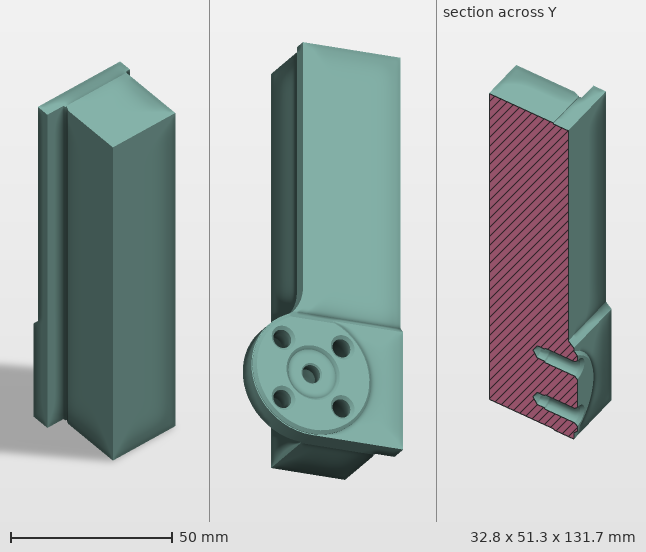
import cadquery as cq
import math

TOTAL_X = 32.82
TOTAL_Y = 51.31
TOTAL_Z = 131.65

END_RADIUS = 20.31
DISC_RADIUS = 20.0
DISC_HEIGHT = 1.25
DISC_CHAMFER = 1.0
PLATE_BACK_X = 8.0
THIN_FACE_X = 3.3
SLOPE_TOP_Z = 20.8
PLATE_MIN_Y = END_RADIUS - TOTAL_Y
PLATE_MAX_Y = 2.0
NECK_RADIUS = 12.0

SHANK_END_INSET = 0.4
SHANK_START_X = 8.9
SHANK_WIDTH = 25.0
SHANK_MAX_Y = -0.1
SHANK_MIN_Y = SHANK_MAX_Y - SHANK_WIDTH
BACK_BLEND = SHANK_START_X - PLATE_BACK_X
GROOVE_BOTTOM_X = 9.25
GROOVE_END_X = 10.9
GROOVE_DEPTH = 0.85
GROOVE_LIP = 0.5

HOLE_SPACING = 20.0
HOLE_DIAMETER = 6.0
PILOT_DIAMETER = 5.0
HOLE_MOUTH_DIAMETER = 8.0
CENTRE_MOUTH_DIAMETER = 7.0
RECESS_DIAMETER = 18.0
RECESS_FLOOR_DIAMETER = 16.0
RECESS_DEPTH = 1.0
BLIND_DEPTH = 12.0
PILOT_DEPTH = 15.0
CENTRE_DEPTH = 5.5
DRILL_HALF_ANGLE = math.radians(59)
CENTRE_HALF_ANGLE = math.radians(70)

PLATE_MIN_Z = -END_RADIUS
SHANK_MIN_Z = PLATE_MIN_Z + SHANK_END_INSET
SHANK_MAX_Z = PLATE_MIN_Z + TOTAL_Z
PLATE_MAX_Z = SHANK_MAX_Z - SHANK_END_INSET


def revolve_about_x(points, y=0.0, z=0.0):
    """Revolve (x, radius) points about an axis along X through (y, z)."""
    profile = cq.Workplane("XY").polyline(points).close()
    return profile.revolve(360, (0, 0, 0), (1, 0, 0)).translate((0, y, z))


def make_plate():
    """Plate with a round end, from the disc's base to the plate back."""
    neck_y = PLATE_MAX_Y + NECK_RADIUS
    centre_distance = END_RADIUS + NECK_RADIUS
    neck_z = math.sqrt(centre_distance**2 - neck_y**2)
    tangent_scale = END_RADIUS / centre_distance
    tangent = (neck_y * tangent_scale, neck_z * tangent_scale)

    direction = math.atan2(-neck_z, -neck_y)
    middle_angle = (direction - math.pi) / 2
    neck_middle = (
        neck_y + NECK_RADIUS * math.cos(middle_angle),
        neck_z + NECK_RADIUS * math.sin(middle_angle),
    )
    outline = (
        cq.Workplane("YZ", origin=(DISC_HEIGHT, 0, 0))
        .moveTo(PLATE_MIN_Y, PLATE_MIN_Z)
        .lineTo(0, PLATE_MIN_Z)
        .threePointArc((END_RADIUS, 0), tangent)
        .threePointArc(neck_middle, (PLATE_MAX_Y, neck_z))
        .lineTo(PLATE_MAX_Y, PLATE_MAX_Z)
        .lineTo(PLATE_MIN_Y, PLATE_MAX_Z)
        .close()
    )
    return outline.extrude(PLATE_BACK_X - DISC_HEIGHT)


def make_disc():
    """Raised disc with a chamfered rim, reaching down through the plate."""
    top_radius = DISC_RADIUS - DISC_CHAMFER
    return revolve_about_x([
        (0, 0),
        (0, top_radius),
        (DISC_CHAMFER, DISC_RADIUS),
        (PLATE_BACK_X, DISC_RADIUS),
        (PLATE_BACK_X, 0),
    ])


def make_thin_cut():
    """Material removed in front of the thin stretch, with its 45 degree slope."""
    profile = (
        cq.Workplane("XZ", origin=(0, PLATE_MIN_Y, 0))
        .moveTo(0, SLOPE_TOP_Z - THIN_FACE_X)
        .lineTo(THIN_FACE_X, SLOPE_TOP_Z)
        .lineTo(THIN_FACE_X, SHANK_MAX_Z)
        .lineTo(0, SHANK_MAX_Z)
        .close()
    )
    return profile.extrude(-TOTAL_Y)


def make_shank():
    """Plain rectangular shank behind the plate."""
    return cq.Workplane("XY").box(
        TOTAL_X - SHANK_START_X,
        SHANK_WIDTH,
        SHANK_MAX_Z - SHANK_MIN_Z,
        centered=False,
    ).translate((SHANK_START_X, SHANK_MIN_Y, SHANK_MIN_Z))


def make_back_blend():
    """Strip filling the step between plate back and shank start."""
    profile = (
        cq.Workplane("XY", origin=(0, 0, PLATE_MIN_Z))
        .moveTo(PLATE_BACK_X, SHANK_MIN_Y)
        .lineTo(SHANK_START_X, SHANK_MIN_Y)
        .lineTo(SHANK_START_X, SHANK_MAX_Y)
        .lineTo(PLATE_BACK_X, SHANK_MAX_Y + BACK_BLEND)
        .close()
    )
    return profile.extrude(PLATE_MAX_Z - PLATE_MIN_Z)


def make_groove():
    """Shallow V groove where the plate back meets the shank's -Y side."""
    profile = (
        cq.Workplane("XY", origin=(0, 0, PLATE_MIN_Z))
        .moveTo(PLATE_BACK_X, SHANK_MIN_Y)
        .lineTo(PLATE_BACK_X, SHANK_MIN_Y + GROOVE_LIP)
        .lineTo(GROOVE_BOTTOM_X, SHANK_MIN_Y + GROOVE_DEPTH)
        .lineTo(GROOVE_END_X, SHANK_MIN_Y)
        .close()
    )
    return profile.extrude(TOTAL_Z)


def hole_mouth(x, mouth_diameter):
    """Profile points of a 45 degree countersunk mouth opening at x."""
    radius = HOLE_DIAMETER / 2
    mouth_radius = mouth_diameter / 2
    return [(x, 0), (x, mouth_radius), (x + mouth_radius - radius, radius)]


def drill_end(diameter, depth, half_angle=DRILL_HALF_ANGLE):
    """Profile points of a straight wall's end and the drill point below it."""
    radius = diameter / 2
    return [(depth, radius), (depth + radius / math.tan(half_angle), 0)]


def make_through_hole(y, z):
    """Countersunk hole running out through the plate back."""
    radius = HOLE_DIAMETER / 2
    points = hole_mouth(0, HOLE_MOUTH_DIAMETER) + [(BLIND_DEPTH, radius), (BLIND_DEPTH, 0)]
    return revolve_about_x(points, y, z)


def make_blind_hole(y, z):
    """Countersunk hole narrowing through a conical shoulder to a drilled pilot."""
    radius = HOLE_DIAMETER / 2
    pilot_radius = PILOT_DIAMETER / 2
    shoulder_length = (radius - pilot_radius) / math.tan(DRILL_HALF_ANGLE)
    shoulder = [(BLIND_DEPTH, radius), (BLIND_DEPTH + shoulder_length, pilot_radius)]
    points = hole_mouth(0, HOLE_MOUTH_DIAMETER) + shoulder + drill_end(PILOT_DIAMETER, PILOT_DEPTH)
    return revolve_about_x(points, y, z)


def make_centre_hole():
    """Short countersunk hole in the recess floor, ending inside the plate."""
    mouth = hole_mouth(RECESS_DEPTH, CENTRE_MOUTH_DIAMETER)
    return revolve_about_x(mouth + drill_end(HOLE_DIAMETER, CENTRE_DEPTH, CENTRE_HALF_ANGLE))


def make_recess():
    """Shallow conical recess around the disc centre."""
    return revolve_about_x([
        (0, 0),
        (0, RECESS_DIAMETER / 2),
        (RECESS_DEPTH, RECESS_FLOOR_DIAMETER / 2),
        (RECESS_DEPTH, 0),
    ])


body = make_plate().union(make_disc()).cut(make_thin_cut())
body = body.union(make_back_blend()).union(make_shank()).cut(make_groove())
body = body.cut(make_recess())
body = body.cut(make_centre_hole())

half_spacing = HOLE_SPACING / 2
for hole_z in (-half_spacing, half_spacing):
    body = body.cut(make_through_hole(half_spacing, hole_z))
    body = body.cut(make_blind_hole(-half_spacing, hole_z))

result = body